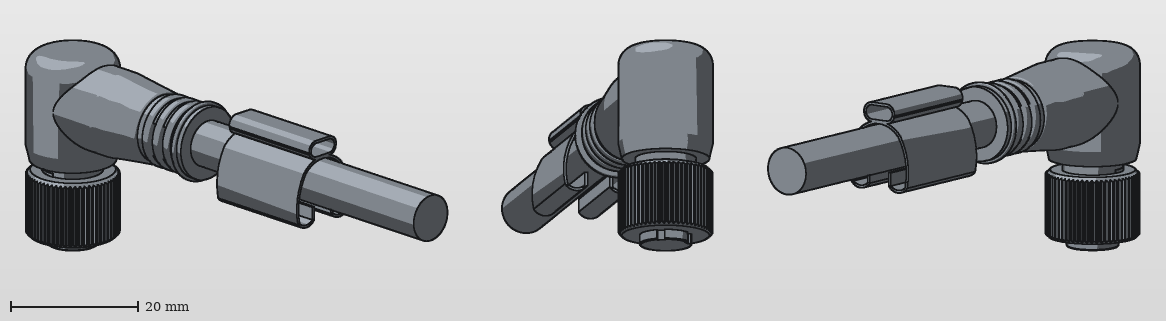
import cadquery as cq
import math

total_length = 87.5
total_height = 32.0

housing_diameter = 15.0
housing_radius = housing_diameter / 2
housing_x = housing_radius
housing_top = 8.0
housing_top_round = 3.0
housing_taper_start = -7.6
housing_bottom = -10.1
housing_bottom_radius = 6.9

neck_radius = 4.8
collar_radius = 4.9
collar_top = -11.3
collar_edge_offset = 0.4

nut_radius = 7.4
nut_top = -11.8
nut_bottom = -22.5
nut_top_chamfer = 0.7
nut_bottom_chamfer = 0.5
groove_count = 60
groove_depth = 0.3
groove_width = 0.5

nose_radius = 4.1
nose_bottom = housing_top - total_height
nose_chamfer = 0.2
key_width = 1.2
key_depth = 0.5
key_angles = (153, 230)

arm_radius = 7.0
arm_end = 18.5
taper_end = 27.5
taper_end_radius = 5.95
taper_blend = 3.5
boot_core_radius = 5.5
first_rib_x = 28.8
rib_count = 3
rib_pitch = 2.3
rib_width = 1.5
rib_radius = 5.95
rib_round = 0.35
flange_x = 35.9
flange_width = 1.75
flange_radius = 6.5
flange_end_radius = 5.95
flange_lip_width = 0.8
flange_round = 0.3
window_height = 5.4

cable_radius = 3.8

clip_x = 45.5
clip_length = 17.85
clip_wall = 0.4
saddle_radius = 5.4
saddle_center_z = -1.05
saddle_edge_y = 4.2
leg_widest = (5.7, -2.0)
leg_bottom = (5.5, -5.8)
hook_bottom_z = -6.7
hook_inner_y = 1.8
hook_tip_z = -3.7
sleeve_top = 7.3
sleeve_height = 3.15
sleeve_flat_length = 2.9
sleeve_groove_z = 5.3
sleeve_groove_width = 0.3
sleeve_groove_depth = 0.2


def x_cylinder(radius, start, length):
    """Cylinder along the cable axis."""
    return cq.Workplane("YZ", origin=(start, 0, 0)).circle(radius).extrude(length)


def housing_cylinder(radius, bottom, top):
    """Cylinder along the upright housing axis."""
    return cq.Workplane("XY", origin=(housing_x, 0, bottom)).circle(radius).extrude(top - bottom)


def make_housing():
    body = housing_cylinder(housing_radius, housing_taper_start, housing_top)
    body = body.faces(">Z").edges().fillet(housing_top_round)
    taper = (
        cq.Workplane("XY", origin=(housing_x, 0, housing_taper_start))
        .circle(housing_radius)
        .workplane(offset=housing_bottom - housing_taper_start)
        .circle(housing_bottom_radius)
        .loft(combine=True)
    )
    return body.union(taper)


def make_neck():
    neck = housing_cylinder(neck_radius, nut_top, housing_bottom)
    collar = housing_cylinder(collar_radius, nut_top, collar_top)
    collar_side = (
        cq.Workplane("XY", origin=(0, 0, nut_top))
        .box(
            housing_x + collar_edge_offset,
            2 * collar_radius,
            collar_top - nut_top,
            centered=(False, True, False),
        )
    )
    return neck.union(collar.intersect(collar_side))


def make_nut():
    nut = housing_cylinder(nut_radius, nut_bottom, nut_top)
    nut = nut.faces(">Z").edges().chamfer(nut_top_chamfer)
    nut = nut.faces("<Z").edges().chamfer(nut_bottom_chamfer)
    return nut.intersect(make_knurl())


def polar_point(radius, angle):
    return (radius * math.cos(angle), radius * math.sin(angle))


def make_knurl():
    """Prism with V grooves around its rim, as tall as the nut."""
    step = 2 * math.pi / groove_count
    half_groove = groove_width / nut_radius / 2
    outline = []
    for index in range(groove_count):
        middle = index * step
        outline.append(polar_point(nut_radius, middle - half_groove))
        outline.append(polar_point(nut_radius - groove_depth, middle))
        outline.append(polar_point(nut_radius, middle + half_groove))
    return (
        cq.Workplane("XY", origin=(housing_x, 0, nut_bottom))
        .polyline(outline)
        .close()
        .extrude(nut_top - nut_bottom)
    )


def make_nose():
    nose = housing_cylinder(nose_radius, nose_bottom, nut_bottom)
    nose = nose.faces("<Z").edges().chamfer(nose_chamfer)
    height = nut_bottom - nose_bottom
    for angle in key_angles:
        keyway = (
            cq.Workplane("XY")
            .box(2 * key_depth, key_width, height, centered=(True, True, False))
            .translate((nose_radius, 0, nose_bottom))
            .rotate((0, 0, 0), (0, 0, 1), angle)
            .translate((housing_x, 0, 0))
        )
        nose = nose.cut(keyway)
    return nose


def make_arm():
    """Round arm leaving the housing, tapering toward the ribs."""
    arm = (
        cq.Workplane("XZ")
        .moveTo(housing_x, 0)
        .lineTo(housing_x, arm_radius)
        .lineTo(arm_end, arm_radius)
        .lineTo(taper_end, taper_end_radius)
        .lineTo(taper_end, 0)
        .close()
        .revolve(360, (0, 0, 0), (1, 0, 0))
    )
    arm = arm.edges(cq.NearestToPointSelector((arm_end, 0, 0))).fillet(taper_blend)
    return arm.faces(">X").edges().fillet(rib_round)


def make_flange():
    lip = x_cylinder(flange_radius, flange_x, flange_lip_width).edges().fillet(flange_round)
    collar = x_cylinder(flange_end_radius, flange_x, flange_width)
    return lip.union(collar)


def make_strain_relief():
    """Ribbed core with a window through it in each gap between neighbouring ribs."""
    relief = x_cylinder(boot_core_radius, taper_end, flange_x - taper_end)
    for index in range(rib_count):
        rib_x = first_rib_x + index * rib_pitch
        relief = relief.union(x_cylinder(rib_radius, rib_x, rib_width).edges().fillet(rib_round))
    for index in range(rib_count - 1):
        window_x = first_rib_x + index * rib_pitch + rib_width
        window = cq.Workplane("XY").box(
            rib_pitch - rib_width, 2 * rib_radius, window_height, centered=(False, True, True)
        )
        relief = relief.cut(window.translate((window_x, 0, 0)))
    return relief


def make_connector():
    connector = make_housing()
    cable = x_cylinder(cable_radius, flange_x, total_length - flange_x)
    for piece in (make_neck(), make_nut(), make_nose(), make_arm(), make_strain_relief(), make_flange(), cable):
        connector = connector.union(piece)
    return connector


def saddle_point(radius, y):
    """Point on the saddle arc of the given radius."""
    return (y, saddle_center_z + math.sqrt(radius ** 2 - y ** 2))


def make_clip_half():
    """Half of the saddle and one hooked leg, on the +Y side."""
    inner_radius = saddle_radius - clip_wall
    inner_edge_y = saddle_edge_y - clip_wall
    widest_y, widest_z = leg_widest
    bottom_y, bottom_z = leg_bottom
    hook_middle_y = (bottom_y + hook_inner_y) / 2
    hook_wall_y = hook_inner_y + clip_wall
    return (
        cq.Workplane("YZ", origin=(clip_x, 0, 0))
        .moveTo(*saddle_point(saddle_radius, 0))
        .threePointArc(
            saddle_point(saddle_radius, saddle_edge_y / 2), saddle_point(saddle_radius, saddle_edge_y)
        )
        .threePointArc(leg_widest, leg_bottom)
        .threePointArc((hook_middle_y, hook_bottom_z), (hook_inner_y, bottom_z))
        .lineTo(hook_inner_y, hook_tip_z)
        .lineTo(hook_wall_y, hook_tip_z)
        .lineTo(hook_wall_y, bottom_z)
        .threePointArc((hook_middle_y, hook_bottom_z + clip_wall), (bottom_y - clip_wall, bottom_z))
        .threePointArc((widest_y - clip_wall, widest_z), saddle_point(inner_radius, inner_edge_y))
        .threePointArc(saddle_point(inner_radius, inner_edge_y / 2), saddle_point(inner_radius, 0))
        .close()
        .extrude(clip_length)
    )


def make_label_sleeve():
    """Flat tube with rounded sides that holds a label."""
    sleeve_center_z = sleeve_top - sleeve_height / 2
    inner_height = sleeve_height - 2 * clip_wall
    sleeve_width = sleeve_flat_length + sleeve_height
    sleeve = (
        cq.Workplane("YZ", origin=(clip_x, 0, sleeve_center_z))
        .slot2D(sleeve_width, sleeve_height)
        .slot2D(sleeve_flat_length + inner_height, inner_height)
        .extrude(clip_length)
    )
    side_grooves = (
        cq.Workplane("YZ", origin=(clip_x, 0, sleeve_groove_z))
        .pushPoints([(-sleeve_width / 2, 0), (sleeve_width / 2, 0)])
        .rect(2 * sleeve_groove_depth, sleeve_groove_width)
        .extrude(clip_length)
    )
    return sleeve.cut(side_grooves)


def make_clip():
    half = make_clip_half()
    return half.union(half.mirror("XZ")).union(make_label_sleeve())


connector = make_connector()
clip = make_clip()
result = cq.Compound.makeCompound([connector.val(), clip.val()])